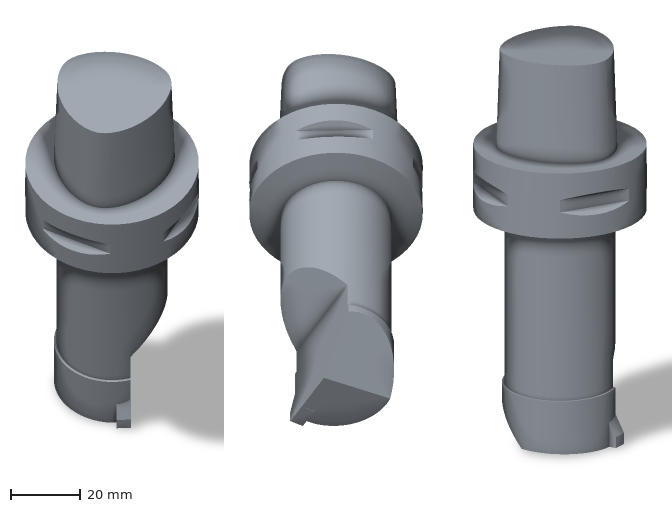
import cadquery as cq
import math

taper_height = 29.8
flange_thickness = 20.0
head_top = -73.2
tool_end = -90.2

taper_base_radius = 17.45
taper_top_radius = 16.45
lobe_height = 1.12
lobe_count = 3
corner_half_angle = 18.5
points_per_stretch = 9

flange_radius = 25.0
shank_radius = 16.0
cone_angle = 15.0

notch_count = 4
notch_flat_distance = 22.4
notch_flat_height = 3.7
notch_level = -10.1
notch_wall_angle = 30.0

tool_turn = -15.0
head_radius = 16.75
chip_face = 4.65
runout_bottom = -64.6
back_bevel_top = -75.5
back_bevel_angle = 43.5
end_relief_angle = 2.5

insert_thickness = 4.2
insert_tip = 19.1
insert_inner = 12.0
insert_tip_level = -89.9
insert_edge_height = 3.4
insert_flank_angle = 30.0

beyond = 30.0


def taper_point(radius, degrees, level):
    """Point of the lobed curve where its outward normal is `degrees` away from +Y."""
    angle = math.radians(degrees)
    along = radius * math.cos(angle) + lobe_height * (2 * math.cos(2 * angle) - math.cos(4 * angle))
    across = radius * math.sin(angle) - lobe_height * (2 * math.sin(2 * angle) + math.sin(4 * angle))
    return cq.Vector(-across, along, level)


def taper_outline(radius, level):
    """Closed outline of three corner stretches and three flatter side stretches."""
    pitch = 360.0 / lobe_count
    edges = []
    for lobe in range(lobe_count):
        corner_start = lobe * pitch - corner_half_angle
        corner_end = lobe * pitch + corner_half_angle
        side_end = corner_start + pitch
        for start, end in ((corner_start, corner_end), (corner_end, side_end)):
            step = (end - start) / (points_per_stretch - 1)
            angles = [start + step * i for i in range(points_per_stretch)]
            edges.append(cq.Edge.makeSpline([taper_point(radius, a, level) for a in angles]))
    return cq.Wire.assembleEdges(edges)


def polygon_taper():
    base = taper_outline(taper_base_radius, 0)
    top = taper_outline(taper_top_radius, taper_height)
    return cq.Workplane(cq.Solid.makeLoft([base, top], True))


def gripper_notch(index):
    """Flat-bottomed groove with sloping walls, cut across one diagonal of the flange."""
    depth = flange_radius - notch_flat_distance
    inner_half = notch_flat_height / 2
    outer_half = inner_half + depth * math.tan(math.radians(notch_wall_angle))
    profile = [
        (notch_flat_distance, notch_level - inner_half),
        (flange_radius, notch_level - outer_half),
        (flange_radius, notch_level + outer_half),
        (notch_flat_distance, notch_level + inner_half),
    ]
    notch = cq.Workplane("XZ").polyline(profile).close().extrude(flange_radius, both=True)
    pitch = 360.0 / notch_count
    return notch.rotate((0, 0, 0), (0, 0, 1), (index + 0.5) * pitch)


def turned(shape):
    """Turn a shape from the cutting end's u, v axes to its place about Z."""
    return shape.rotate((0, 0, 0), (0, 0, 1), tool_turn)


def chip_clearance():
    """Everything on the chip side of the flat face, ending upward in a 45 degree runout."""
    profile = [
        (chip_face, tool_end - beyond),
        (chip_face, runout_bottom),
        (chip_face + beyond, runout_bottom + beyond),
        (chip_face + beyond, tool_end - beyond),
    ]
    return turned(cq.Workplane("YZ").polyline(profile).close().extrude(beyond, both=True))


def insert_blank():
    """Flat plate with an upright outer edge and a sloping flank, flush with the chip face."""
    edge_top = insert_tip_level + insert_edge_height
    flank_rise = (insert_tip - insert_inner) / math.tan(math.radians(insert_flank_angle))
    profile = [
        (insert_inner, tool_end),
        (insert_tip, insert_tip_level),
        (insert_tip, edge_top),
        (insert_inner, edge_top + flank_rise),
    ]
    plate = cq.Workplane("XZ", origin=(0, chip_face, 0)).polyline(profile).close()
    return turned(plate.extrude(insert_thickness))


def make_holder():
    cone_height = (flange_radius - shank_radius) * math.tan(math.radians(cone_angle))
    profile = [
        (0, 0),
        (flange_radius, 0),
        (flange_radius, -flange_thickness),
        (shank_radius, -flange_thickness - cone_height),
        (shank_radius, head_top),
        (0, head_top),
    ]
    body = cq.Workplane("XZ").polyline(profile).close().revolve(360, (0, 0, 0), (0, 1, 0))
    for index in range(notch_count):
        body = body.cut(gripper_notch(index))
    return body.cut(chip_clearance()).union(polygon_taper())


def back_bevel():
    """Wedge taken off the side of the head opposite the insert."""
    drop = beyond * math.tan(math.radians(back_bevel_angle))
    profile = [
        (-head_radius + beyond, back_bevel_top - drop),
        (-head_radius - beyond, back_bevel_top - drop),
        (-head_radius - beyond, back_bevel_top + drop),
    ]
    return turned(cq.Workplane("XZ").polyline(profile).close().extrude(beyond, both=True))


def end_relief():
    """Shallow slope under the head, lowest along the chip face."""
    rise = beyond * math.tan(math.radians(end_relief_angle))
    profile = [
        (chip_face, tool_end),
        (chip_face - beyond, tool_end + rise),
        (chip_face - beyond, tool_end),
    ]
    return turned(cq.Workplane("YZ").polyline(profile).close().extrude(beyond, both=True))


def make_head(insert):
    head = cq.Workplane("XY", origin=(0, 0, tool_end)).circle(head_radius).extrude(head_top - tool_end)
    for cutter in (chip_clearance(), back_bevel(), end_relief(), insert):
        head = head.cut(cutter)
    return head


cutting_insert = insert_blank()
holder = make_holder()
head = make_head(cutting_insert)

result = cq.Compound.makeCompound([holder.val(), head.val(), cutting_insert.val()])